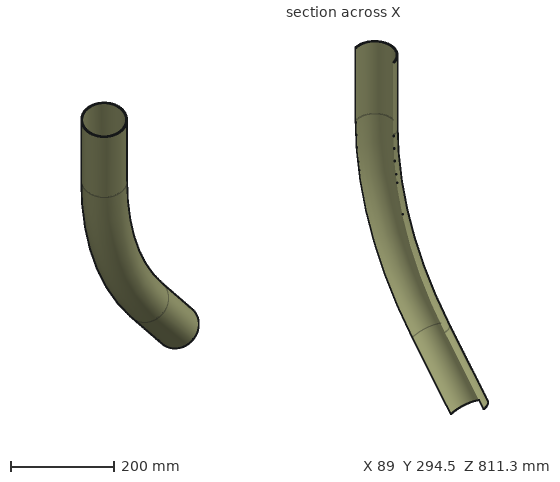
import cadquery as cq
import math

outer_diameter = 89.0
inner_diameter = 84.0
straight_length = 177.0
bend_radius = 917.5
bend_angle = 30.0


def bend_point(angle):
    """Centreline (Y, Z) point after turning by angle; the bend starts at the origin, heading down."""
    turn = math.radians(angle)
    return bend_radius * (1 - math.cos(turn)), -bend_radius * math.sin(turn)


end_turn = math.radians(bend_angle)
bend_end_y, bend_end_z = bend_point(bend_angle)
lower_end = (
    bend_end_y + straight_length * math.sin(end_turn),
    bend_end_z - straight_length * math.cos(end_turn),
)
centreline = (
    cq.Workplane("YZ")
    .moveTo(0, straight_length)
    .lineTo(0, 0)
    .threePointArc(bend_point(bend_angle / 2), (bend_end_y, bend_end_z))
    .lineTo(*lower_end)
)

result = (
    cq.Workplane("XY", origin=(0, 0, straight_length))
    .circle(outer_diameter / 2)
    .circle(inner_diameter / 2)
    .sweep(centreline)
)